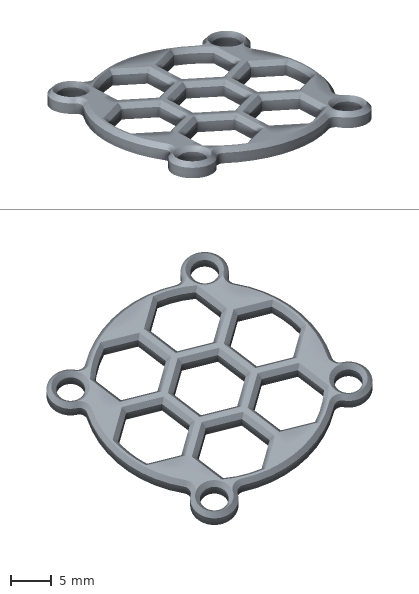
import cadquery as cq
import math

thickness = 2.0
chamfer = 0.6
guard_radius = 15.5
air_radius = 14.0
screw_spacing = 24.0
screw_diameter = 3.5
lug_wall = 2 * chamfer
neck_radius = 1.0
hex_sides = 6
hex_flats = 8.0
rib_width = 2.0

screw_radius = screw_diameter / 2
lug_radius = screw_radius + lug_wall
lug_offset = screw_spacing / 2
hex_pitch = hex_flats + rib_width
bevel_start = thickness - chamfer
screw_points = [(sx * lug_offset, sy * lug_offset) for sx in (-1, 1) for sy in (-1, 1)]


def make_plate():
    """Round plate with four blended corner lugs, bevelled around its top edge."""
    plate = cq.Workplane("XY").circle(guard_radius).extrude(thickness)
    lugs = cq.Workplane("XY").pushPoints(screw_points).circle(lug_radius).extrude(thickness)
    plate = plate.union(lugs)
    plate = plate.edges("|Z").fillet(neck_radius)
    plate = plate.faces(">Z").edges().chamfer(chamfer)
    return plate


def circle_cutter(radius):
    """Round through cutter that flares by the chamfer at the top."""
    straight = cq.Workplane("XY").circle(radius).extrude(thickness)
    flare = cq.Workplane("XY", origin=(0, 0, bevel_start)).circle(radius).extrude(chamfer, taper=-45)
    return straight.union(flare)


def hexagon_cutter(flats):
    """Hexagonal through cutter, flats facing +Y and -Y, flared by the chamfer at the top."""
    corner_diameter = flats / math.cos(math.pi / hex_sides)
    top_diameter = (flats + 2 * chamfer) / math.cos(math.pi / hex_sides)
    straight = cq.Workplane("XY").polygon(hex_sides, corner_diameter).extrude(thickness)
    flare = (
        cq.Workplane("XY", origin=(0, 0, bevel_start))
        .polygon(hex_sides, corner_diameter)
        .workplane(offset=chamfer)
        .polygon(hex_sides, top_diameter)
        .loft(ruled=True)
    )
    return straight.union(flare)


def make_honeycomb():
    """Centre cell and its six neighbours, clipped to the air circle."""
    cell = hexagon_cutter(hex_flats)
    cells = cell
    for step in range(hex_sides):
        angle = (step + 0.5) * 2 * math.pi / hex_sides
        shift = (hex_pitch * math.cos(angle), hex_pitch * math.sin(angle), 0)
        cells = cells.union(cell.translate(shift))
    return cells.intersect(circle_cutter(air_radius))


def make_screw_holes():
    """Countersunk screw hole through each lug."""
    hole = circle_cutter(screw_radius)
    holes = cq.Workplane("XY")
    for x, y in screw_points:
        holes = holes.union(hole.translate((x, y, 0)))
    return holes


result = make_plate().cut(make_honeycomb()).cut(make_screw_holes())